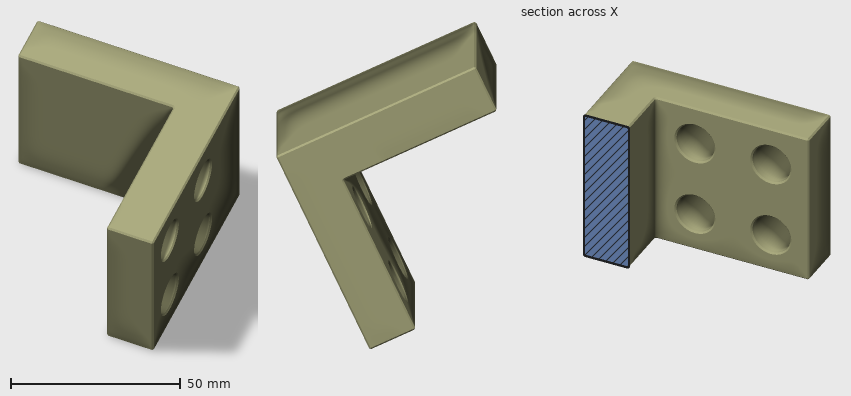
import cadquery as cq

length_x = 65.0
length_y = 65.5
height = 50.0
wall = 15.0

edge_chamfer = 0.5
inside_radius = 0.5

hole_diameter = 12.5
hole_pitch = 25.0
hole_end_distance = 12.5
countersink_diameter = hole_diameter + 2 * edge_chamfer

inner_x = -wall
inner_y = -wall
pattern_y = -length_y + hole_end_distance + hole_pitch / 2
pattern_z = height / 2


def make_bracket():
    """L-shaped body with a rounded inside corner and all other edges chamfered."""
    outline = [
        (0, 0),
        (-length_x, 0),
        (-length_x, inner_y),
        (inner_x, inner_y),
        (inner_x, -length_y),
        (0, -length_y),
    ]
    body = cq.Workplane("XY").polyline(outline).close().extrude(height)
    inside_corner = cq.selectors.NearestToPointSelector((inner_x, inner_y, height / 2))
    body = body.edges(inside_corner).fillet(inside_radius)
    outer_corners = body.edges("|Z and (>X or <X or >Y or <Y)")
    rims = body.faces("<Z or >Z").edges()
    return rims.add(outer_corners).chamfer(edge_chamfer)


def make_hole():
    """Cutter along X, centred on the origin, with a 45 degree break at both faces."""
    radius = hole_diameter / 2
    mouth_radius = countersink_diameter / 2
    half_wall = wall / 2
    profile = [
        (-half_wall, 0),
        (-half_wall, mouth_radius),
        (-half_wall + edge_chamfer, radius),
        (half_wall - edge_chamfer, radius),
        (half_wall, mouth_radius),
        (half_wall, 0),
    ]
    return cq.Workplane("XY").polyline(profile).close().revolve(360, (0, 0, 0), (1, 0, 0))


result = make_bracket()
hole = make_hole()
for side_y in (-1, 1):
    for side_z in (-1, 1):
        hole_y = pattern_y + side_y * hole_pitch / 2
        hole_z = pattern_z + side_z * hole_pitch / 2
        result = result.cut(hole.translate((-wall / 2, hole_y, hole_z)))